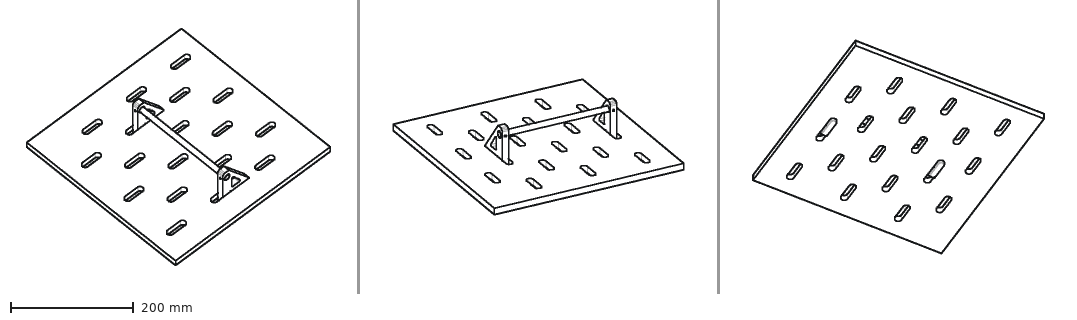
import cadquery as cq

plate_side = 350
plate_thickness = 12.0
grid_lines = 6
grid_pitch = plate_side / (grid_lines + 1)
slot_width = 12.0
slot_length = 40.0

bracket_row = 3
bracket_columns = (1, 5)
bracket_width = slot_width
bracket_height = 57.5
bracket_base = 59.5
heel_height = 1.0
bracket_top = 14
nose_chamfer = 4.0
nose_round = 3.5
front_y = -26.0
foot_length = 38.5
foot_depth = 5.0
foot_round = 1.5

window_bottom = 9.0
window_length = 20.3
window_height = 27.5
window_round = 2.0

rod_diameter = 10.0
rod_setback = 9.8
rod_height = 42.7
rod_hole_diameter = 12.0
screw_diameter = 3.0


def grid_position(index):
    """Distance of a grid line from the plate centre."""
    return (index - (grid_lines - 1) / 2) * grid_pitch


bracket_slot_y = -grid_position(bracket_row)
slot_rear_y = bracket_slot_y + slot_length / 2
rod_y = front_y + rod_setback
bracket_centres = [grid_position(column) for column in bracket_columns]


def make_plate():
    """Board with a slot at every second grid crossing."""
    centres = [
        (grid_position(column), -grid_position(row))
        for column in range(grid_lines)
        for row in range(grid_lines)
        if column % 2 == row % 2
    ]
    board = cq.Workplane("XY").box(plate_side, plate_side, plate_thickness, centered=(True, True, False))
    slots = cq.Workplane("XY").pushPoints(centres).slot2D(slot_length, slot_width, 90).extrude(plate_thickness)
    return board.cut(slots).translate((0, 0, -plate_thickness))


def side_profile(points):
    """Prism across the bracket width, from (Y, Z) points."""
    return cq.Workplane("YZ").polyline(points).close().extrude(bracket_width / 2, both=True)


def round_ended_block(rear_y, bottom_z, height):
    """Block from the front face to a half-round rear end."""
    half = bracket_width / 2
    return (
        cq.Workplane("XY", origin=(0, 0, bottom_z))
        .moveTo(-half, front_y)
        .lineTo(half, front_y)
        .lineTo(half, rear_y - half)
        .threePointArc((0, rear_y), (-half, rear_y - half))
        .close()
        .extrude(height)
    )


def make_upright():
    """Sloping part of the bracket above the plate, with a softened chamfer at the upper front edge."""
    rear_y = front_y + bracket_base
    slope_top_y = front_y + bracket_top
    body = side_profile([
        (front_y, 0),
        (rear_y, 0),
        (rear_y, heel_height),
        (slope_top_y, bracket_height),
        (front_y, bracket_height),
    ])
    body = body.edges(">Z and <Y").chamfer(nose_chamfer)
    chamfer_face = body.faces(cq.selectors.ParallelDirSelector(cq.Vector(0, -1, 1)))
    return chamfer_face.edges("|X").fillet(nose_round)


def make_window():
    """Right-angled triangle whose upright side lines up with the rear end of the slot."""
    window = side_profile([
        (slot_rear_y, window_bottom),
        (slot_rear_y + window_length, window_bottom),
        (slot_rear_y, window_bottom + window_height),
    ])
    return window.edges("|X").fillet(window_round)


def make_bracket(centre_x):
    """Upright, neck filling the rear of the slot, and foot hooked under the plate."""
    neck = round_ended_block(slot_rear_y, -plate_thickness, plate_thickness)
    foot = round_ended_block(front_y + foot_length, -plate_thickness - foot_depth, foot_depth)
    foot = foot.faces("<Z").edges().fillet(foot_round)
    rod_hole = (
        cq.Workplane("YZ")
        .center(rod_y, rod_height)
        .circle(rod_hole_diameter / 2)
        .extrude(bracket_width, both=True)
    )
    screw_hole = (
        cq.Workplane("XZ", origin=(0, front_y, rod_height))
        .circle(screw_diameter / 2)
        .extrude(-rod_setback)
    )
    bracket = make_upright().union(neck).union(foot)
    bracket = bracket.cut(make_window()).cut(rod_hole).cut(screw_hole)
    return bracket.translate((centre_x, 0, 0))


def make_rod():
    """Rod reaching the outer faces of both brackets."""
    left_x = bracket_centres[0] - bracket_width / 2
    right_x = bracket_centres[-1] + bracket_width / 2
    return (
        cq.Workplane("YZ", origin=(left_x, rod_y, rod_height))
        .circle(rod_diameter / 2)
        .extrude(right_x - left_x)
    )


plate = make_plate()
brackets = [make_bracket(centre_x) for centre_x in bracket_centres]
rod = make_rod()

result = cq.Compound.makeCompound([
    plate.val(),
    *[bracket.val() for bracket in brackets],
    rod.val(),
])